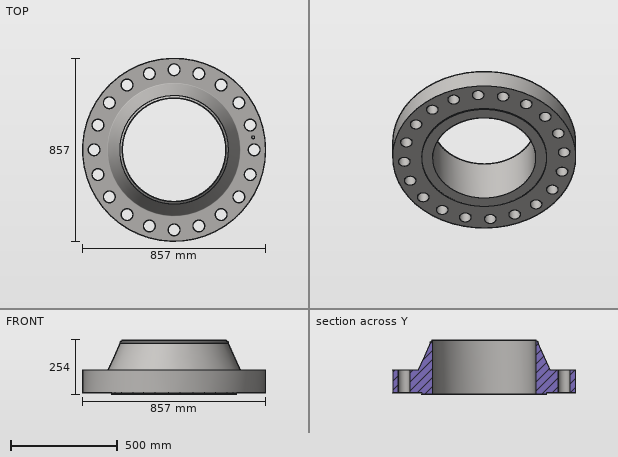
import cadquery as cq
import math

flange_diameter = 857.0
flange_thickness = 108.0
face_diameter = 584.5
face_height = 7.0

total_height = 254.0
hub_base_diameter = 620.0
hub_fillet_radius = 4.0
pipe_diameter = 508.0
bore_diameter = 482.5
land_width = 2.0
bevel_angle = 37.5
straight_length = 7.0

bolt_count = 20
bolt_circle_diameter = 749.0
bolt_hole_diameter = 54.0

small_hole_diameter = 14.0
small_hole_depth = 26.0

flange_top = face_height + flange_thickness
pipe_radius = pipe_diameter / 2
bore_radius = bore_diameter / 2
land_radius = bore_radius + land_width
bevel_height = (pipe_radius - land_radius) * math.tan(math.radians(bevel_angle))
bevel_base = total_height - bevel_height
hub_top = bevel_base - straight_length
bolt_circle_radius = bolt_circle_diameter / 2
bolt_pitch = 360 / bolt_count


def make_body():
    """Revolve the half section (radius, height) about the Z axis."""
    section = [
        (bore_radius, 0),
        (face_diameter / 2, 0),
        (face_diameter / 2, face_height),
        (flange_diameter / 2, face_height),
        (flange_diameter / 2, flange_top),
        (hub_base_diameter / 2, flange_top),
        (pipe_radius, hub_top),
        (pipe_radius, bevel_base),
        (land_radius, total_height),
        (bore_radius, total_height),
    ]
    return cq.Workplane("XZ").polyline(section).close().revolve(360, (0, 0), (0, 1))


def round_hub_base(body):
    """Fillet the inside corner where the hub meets the flange top."""
    reach = hub_base_diameter / 2 + hub_fillet_radius
    corner_box = cq.selectors.BoxSelector(
        (-reach, -reach, flange_top - hub_fillet_radius),
        (reach, reach, flange_top + hub_fillet_radius),
        boundingbox=True,
    )
    return body.edges(corner_box).fillet(hub_fillet_radius)


def make_hole(diameter, depth, angle):
    """Cutter sunk from the flange top, on the bolt circle at an angle in degrees."""
    x = bolt_circle_radius * math.cos(math.radians(angle))
    y = bolt_circle_radius * math.sin(math.radians(angle))
    top = cq.Workplane("XY", origin=(x, y, flange_top))
    return top.circle(diameter / 2).extrude(-depth)


result = round_hub_base(make_body())
for index in range(bolt_count):
    result = result.cut(make_hole(bolt_hole_diameter, flange_thickness, index * bolt_pitch))
result = result.cut(make_hole(small_hole_diameter, small_hole_depth, bolt_pitch / 2))